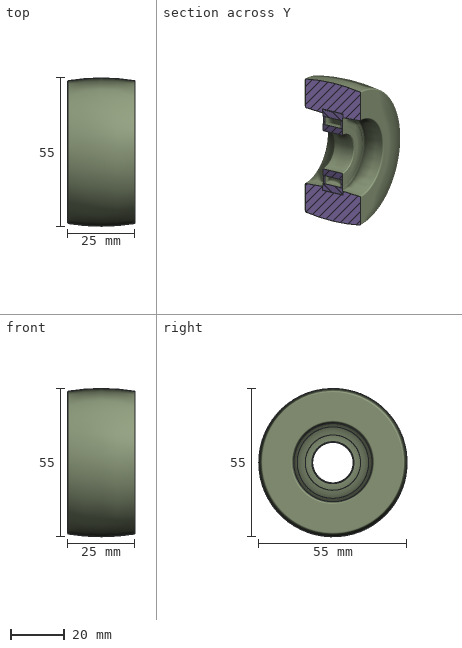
import cadquery as cq
import math


wheel_width = 25.0
crown_diameter = 55.0
tread_arc_radius = 75.0
recess_mouth_diameter = 30.0
recess_floor_diameter = 29.0
edge_radius = 0.5

bore_diameter = 15.0
bearing_diameter = 32.0
bearing_width = 9.0
inner_ring_diameter = 20.5
outer_ring_bore = 26.5
bore_chamfer = 0.3
shield_thickness = 0.8
shield_recess = 0.2

half_width = wheel_width / 2
half_bearing = bearing_width / 2


def ring(inner_diameter, outer_diameter, width, center_x=0.0):
    """Plain ring about the X axis, centred on center_x."""
    return (
        cq.Workplane("YZ", origin=(center_x - width / 2, 0, 0))
        .circle(outer_diameter / 2)
        .circle(inner_diameter / 2)
        .extrude(width)
    )


def make_wheel():
    """Wheel with a crowned tread, tapered side recesses and a seat for the bearing."""
    crown_radius = crown_diameter / 2
    tread_drop = tread_arc_radius - math.sqrt(tread_arc_radius**2 - half_width**2)
    end_radius = crown_radius - tread_drop
    mouth_radius = recess_mouth_diameter / 2
    floor_radius = recess_floor_diameter / 2
    seat_radius = bearing_diameter / 2
    profile = (
        cq.Workplane("XZ")
        .moveTo(-half_width, end_radius)
        .threePointArc((0, crown_radius), (half_width, end_radius))
        .lineTo(half_width, mouth_radius)
        .lineTo(half_bearing, floor_radius)
        .lineTo(half_bearing, seat_radius)
        .lineTo(-half_bearing, seat_radius)
        .lineTo(-half_bearing, floor_radius)
        .lineTo(-half_width, mouth_radius)
        .close()
    )
    wheel = profile.revolve(360, (0, 0, 0), (1, 0, 0))
    return wheel.faces("<X or >X").edges().fillet(edge_radius)


def make_outer_ring():
    return ring(outer_ring_bore, bearing_diameter, bearing_width)


def make_inner_ring():
    """Inner ring with both ends of its bore chamfered."""
    inner_ring = ring(bore_diameter, inner_ring_diameter, bearing_width)
    bore_edges = inner_ring.faces("<X or >X").edges(cq.selectors.RadiusNthSelector(0))
    return bore_edges.chamfer(bore_chamfer)


def make_shield(side):
    """Shield closing the gap between the rings; side is -1 or +1 along X."""
    center_x = side * (half_bearing - shield_recess - shield_thickness / 2)
    return ring(inner_ring_diameter, outer_ring_bore, shield_thickness, center_x)


wheel = make_wheel()
outer_ring = make_outer_ring()
inner_ring = make_inner_ring()
shields = [make_shield(side) for side in (-1, 1)]

result = cq.Compound.makeCompound(
    [
        wheel.val(),
        outer_ring.val(),
        inner_ring.val(),
        *[shield.val() for shield in shields],
    ]
)